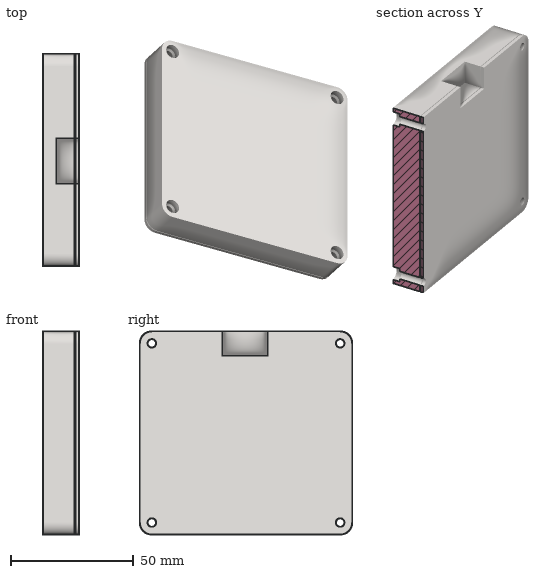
import cadquery as cq

LENGTH = 87.0
HEIGHT = 83.3
CORNER_RADIUS = 5.0
CASE_THICKNESS = 13.0
PLATE_THICKNESS = 1.5
PLATE_GAP = 0.35
PLATE_X = CASE_THICKNESS + PLATE_GAP
TOTAL_THICKNESS = PLATE_X + PLATE_THICKNESS

SCREW_DIAMETER = 3.4
HEAD_DIAMETER = 6.0
HEAD_DEPTH = 3.1
SCREW_Y = LENGTH / 2 - CORNER_RADIUS
SCREW_Z = HEIGHT / 2 - CORNER_RADIUS
SCREW_POINTS = [(y, z) for y in (-SCREW_Y, SCREW_Y) for z in (-SCREW_Z, SCREW_Z)]

NOTCH_WIDTH = 18.5
NOTCH_CENTER_Y = -0.4
NOTCH_START_X = 5.5
NOTCH_DEPTH = 10.0


def rounded_slab(start_x, thickness):
    """Slab with the shared outline and four rounded corners, from start_x towards +X."""
    slab = cq.Workplane("YZ", origin=(start_x, 0, 0)).rect(LENGTH, HEIGHT).extrude(thickness)
    return slab.edges("|X").fillet(CORNER_RADIUS)


def screw_cylinders(diameter, depth):
    """Four cylinders along X, one per screw, starting at the case's outer face."""
    return cq.Workplane("YZ").pushPoints(SCREW_POINTS).circle(diameter / 2).extrude(depth)


def notch_block():
    """Block that opens the notch through both the case and the plate."""
    notch_length = TOTAL_THICKNESS - NOTCH_START_X
    block = cq.Workplane("XY").box(notch_length, NOTCH_WIDTH, NOTCH_DEPTH, centered=(False, True, False))
    return block.translate((NOTCH_START_X, NOTCH_CENTER_Y, HEIGHT / 2 - NOTCH_DEPTH))


def make_case():
    """Thick case with counterbored screw holes and the notch."""
    body = rounded_slab(0, CASE_THICKNESS)
    body = body.cut(screw_cylinders(SCREW_DIAMETER, TOTAL_THICKNESS))
    body = body.cut(screw_cylinders(HEAD_DIAMETER, HEAD_DEPTH))
    return body.cut(notch_block())


def make_plate():
    """Thin plate behind the case, with plain screw holes and the same notch."""
    body = rounded_slab(PLATE_X, PLATE_THICKNESS)
    body = body.cut(screw_cylinders(SCREW_DIAMETER, TOTAL_THICKNESS))
    return body.cut(notch_block())


case = make_case()
plate = make_plate()
result = cq.Compound.makeCompound([case.val(), plate.val()])